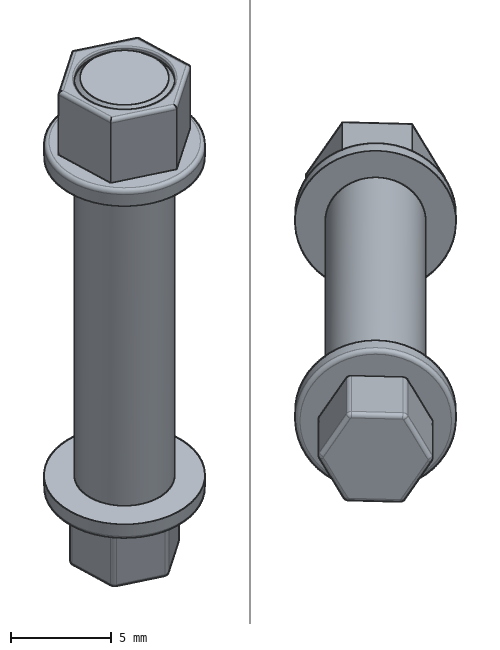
import cadquery as cq
import math

TOTAL_LENGTH = 30
HEX_HEIGHT = 4.0
FLANGE_THICKNESS = 1.0
FLANGE_DIAMETER = 8.0
FLANGE_FILLET = 0.25

SHANK_DIAMETER = 5.0
SHANK_END_CHAMFER = 0.3
HEAD_ACROSS_FLATS = SHANK_DIAMETER
HEAD_CORNER_FILLET = 0.3
HEAD_END_FILLET = 0.25

NUT_ACROSS_FLATS = 6
NUT_FILLET = 0.2
BORE_DIAMETER = SHANK_DIAMETER
BORE_FILLET = 0.1

NUT_HEIGHT = HEX_HEIGHT + FLANGE_THICKNESS
NUT_BASE = TOTAL_LENGTH - NUT_HEIGHT


def hex_prism(across_flats, base):
    """Hexagonal prism with two flats facing -Y and +Y."""
    return (
        cq.Workplane("XY", origin=(0, 0, base))
        .polygon(6, across_flats / math.cos(math.pi / 6))
        .extrude(HEX_HEIGHT)
    )


def flange(base, rounded_side):
    """Round flange with one rounded rim, on the side facing the hexagon."""
    return (
        cq.Workplane("XY", origin=(0, 0, base))
        .circle(FLANGE_DIAMETER / 2)
        .extrude(FLANGE_THICKNESS)
        .edges(rounded_side)
        .fillet(FLANGE_FILLET)
    )


def make_bolt():
    """Shank, flange and rounded hexagonal head in one piece."""
    head = (
        hex_prism(HEAD_ACROSS_FLATS, 0)
        .edges("|Z")
        .fillet(HEAD_CORNER_FILLET)
        .faces("<Z")
        .edges()
        .fillet(HEAD_END_FILLET)
    )
    shank = (
        cq.Workplane("XY", origin=(0, 0, HEX_HEIGHT))
        .circle(SHANK_DIAMETER / 2)
        .extrude(TOTAL_LENGTH - HEX_HEIGHT)
        .edges(">Z")
        .chamfer(SHANK_END_CHAMFER)
    )
    return head.union(flange(HEX_HEIGHT, "<Z")).union(shank)


def make_nut():
    """Flanged hexagonal nut with a through bore rounded at its top rim."""
    hexagon = hex_prism(NUT_ACROSS_FLATS, NUT_BASE + FLANGE_THICKNESS)
    hexagon = hexagon.faces(">Z").edges().fillet(NUT_FILLET)
    bore = (
        cq.Workplane("XY", origin=(0, 0, NUT_BASE))
        .circle(BORE_DIAMETER / 2)
        .extrude(NUT_HEIGHT)
    )
    nut = hexagon.union(flange(NUT_BASE, ">Z")).cut(bore)
    return nut.faces(">Z").edges("%CIRCLE").fillet(BORE_FILLET)


bolt = make_bolt()
nut = make_nut()
result = cq.Compound.makeCompound([bolt.val(), nut.val()])